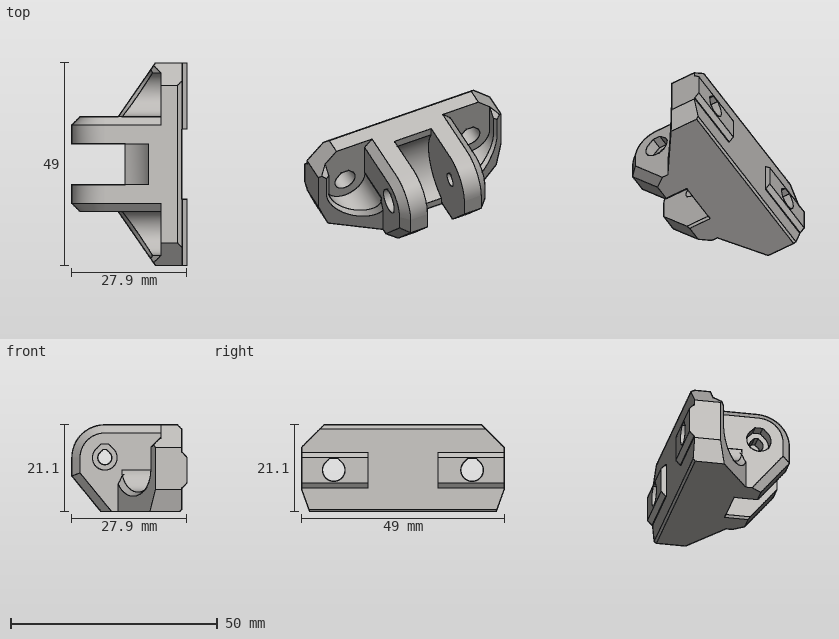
import cadquery as cq
import math

LENGTH = 49.0
HALF_LENGTH = LENGTH / 2
TOP = 8.0
BOTTOM = -13.05
HEIGHT = TOP - BOTTOM

PLATE_FRONT = 13.55
PLATE_BACK = 18.6
TOP_CORNER = 5.5
BOTTOM_CORNER_Y = 1.95
BOTTOM_CORNER_Z = 5.4
BACK_TOP_CHAMFER = 1.1
BACK_BOTTOM_CHAMFER = 0.55

LUG_RADIUS = TOP
LUG_OUTER_Y = 11.45
LUG_CHAMFER = 2.0
LUG_SLOPE_TOP_Z = -4.4
LUG_SLOPE_BOTTOM_X = -0.95
SLOT_WIDTH = 9.85
SLOT_FLOOR_X = 10.55
SLOT_BOTTOM_X = 4.85
SLOT_RADIUS = 12.05
SLOT_BOTTOM_CHAMFER = 0.55

PIN_RADIUS = 1.65
PIN_FLAT = 1.95
PIN_HEAD_RADIUS = 3.0
PIN_HEAD_FLAT = 3.3
PIN_HEAD_DEPTH = 3.0
SCREW_RADIUS = 2.7
SCREW_FLAT = 2.85
SCREW_Z = -3.0

POCKET_RADIUS = 5.35
POCKET_CHAMFER = 1.0
POCKET_LUG_OVERLAP = 0.1
SCREW_Y = LUG_OUTER_Y + POCKET_RADIUS - POCKET_LUG_OVERLAP
WING_ROOT_X = 3.25
LUG_RECESS_START_X = WING_ROOT_X + POCKET_CHAMFER
WING_TIP_X = 12.25

TAB_DEPTH = 1.25
TAB_LENGTH = 16.0
TAB_LEDGE = 0.15
TAB_BASE_HEIGHT = 8.58
TAB_TIP_HEIGHT = 6.15


def both_sides(shape):
    """The shape together with its mirror image across Y = 0."""
    return shape.union(shape.mirror("XZ"))


def teardrop(plane, radius, flat):
    """Circle with 45 degree tangents on top, cut off flat at the given height."""
    tangent = radius / math.sqrt(2)
    half_flat = 2 * tangent - flat
    return (
        cq.Workplane(plane)
        .moveTo(-half_flat, flat)
        .lineTo(-tangent, tangent)
        .threePointArc((0, -radius), (tangent, tangent))
        .lineTo(half_flat, flat)
        .close()
    )


def end_outline(start_x, end_x):
    """Outline of the part along X, extruded between two X positions."""
    half = [
        (HALF_LENGTH - TOP_CORNER, TOP),
        (HALF_LENGTH, TOP - TOP_CORNER),
        (HALF_LENGTH, BOTTOM + BOTTOM_CORNER_Z),
        (HALF_LENGTH - BOTTOM_CORNER_Y, BOTTOM),
    ]
    other_half = [(-y, z) for y, z in reversed(half)]
    return (
        cq.Workplane("YZ", origin=(start_x, 0, 0))
        .polyline(half + other_half)
        .close()
        .extrude(end_x - start_x)
    )


def make_plate():
    """Mounting plate with its long back edges chamfered."""
    plate = end_outline(PLATE_FRONT, PLATE_BACK)
    plate = plate.edges(">X and >Z").chamfer(BACK_TOP_CHAMFER)
    return plate.edges(">X and <Z").chamfer(BACK_BOTTOM_CHAMFER)


def make_lug_block():
    """Both lugs as one block, its outer sides chamfered around the nose and the top."""
    slope = (LUG_SLOPE_BOTTOM_X + LUG_RADIUS) / (LUG_SLOPE_TOP_Z - BOTTOM)
    margin = 2 * LUG_CHAMFER
    arc_mid = LUG_RADIUS / math.sqrt(2)
    outline = (
        cq.Workplane("XZ")
        .moveTo(PLATE_FRONT + margin, TOP)
        .lineTo(0, TOP)
        .threePointArc((-arc_mid, arc_mid), (-LUG_RADIUS, 0))
        .lineTo(-LUG_RADIUS, LUG_SLOPE_TOP_Z)
        .lineTo(LUG_SLOPE_BOTTOM_X + slope * margin, BOTTOM - margin)
        .lineTo(PLATE_FRONT + margin, BOTTOM - margin)
        .close()
    )
    block = outline.extrude(LUG_OUTER_Y, both=True)
    block = block.faces("<Y or >Y").chamfer(LUG_CHAMFER)
    limits = cq.Workplane("XY").box(
        PLATE_FRONT + LUG_RADIUS, LENGTH, HEIGHT, centered=(False, True, False)
    )
    return block.intersect(limits.translate((-LUG_RADIUS, 0, BOTTOM)))


def make_wing():
    """Sloped wing beside the +Y lug, holding the screw-head pocket."""
    slope = (WING_TIP_X - WING_ROOT_X) / (HALF_LENGTH - LUG_OUTER_Y)
    inner_x = WING_ROOT_X - slope * LUG_OUTER_Y
    plan = (
        cq.Workplane("XY", origin=(0, 0, BOTTOM))
        .polyline(
            [
                (inner_x, 0),
                (WING_TIP_X, HALF_LENGTH),
                (PLATE_FRONT, HALF_LENGTH),
                (PLATE_FRONT, 0),
            ]
        )
        .close()
        .extrude(HEIGHT)
    )
    wing = end_outline(inner_x, PLATE_FRONT).intersect(plan)

    pocket = (
        cq.Workplane("YZ", origin=(inner_x, 0, 0))
        .moveTo(SCREW_Y - POCKET_RADIUS, TOP)
        .lineTo(SCREW_Y - POCKET_RADIUS, SCREW_Z)
        .threePointArc((SCREW_Y, SCREW_Z - POCKET_RADIUS), (SCREW_Y + POCKET_RADIUS, SCREW_Z))
        .lineTo(SCREW_Y + POCKET_RADIUS, TOP)
        .close()
        .extrude(PLATE_FRONT - inner_x)
    )
    sloped_face = cq.selectors.DirectionMinMaxSelector(cq.Vector(-1, slope, 0), True)
    rim = cq.selectors.BoxSelector(
        (inner_x, LUG_OUTER_Y - POCKET_CHAMFER, SCREW_Z - POCKET_RADIUS),
        (PLATE_FRONT, SCREW_Y + POCKET_RADIUS + POCKET_CHAMFER, TOP - POCKET_CHAMFER),
    )
    wing = wing.cut(pocket).faces(sloped_face).edges(rim).chamfer(POCKET_CHAMFER)

    wall_top = TOP - TOP_CORNER + HALF_LENGTH - SCREW_Y - POCKET_RADIUS
    top_cut = (
        cq.Workplane("XZ")
        .polyline(
            [
                (PLATE_FRONT, wall_top),
                (PLATE_FRONT, wall_top + PLATE_FRONT),
                (0, wall_top + PLATE_FRONT),
                (0, wall_top - PLATE_FRONT),
            ]
        )
        .close()
        .extrude(-LENGTH)
    )
    inner_side = cq.Workplane("XY").box(LENGTH, 2 * LUG_OUTER_Y, LENGTH)
    return wing.cut(top_cut).cut(inner_side)


def make_lug_recess():
    """Round lower half of the pocket, shaving the side of the +Y lug."""
    return (
        cq.Workplane("YZ", origin=(LUG_RECESS_START_X, SCREW_Y, SCREW_Z))
        .moveTo(-POCKET_RADIUS, 0)
        .threePointArc((0, -POCKET_RADIUS), (POCKET_RADIUS, 0))
        .close()
        .extrude(PLATE_FRONT - LUG_RECESS_START_X)
        .intersect(cq.Workplane("XY").box(LENGTH, 2 * LUG_OUTER_Y, LENGTH))
    )


def make_slot():
    """Gap between the lugs, its floor hollowed around the pin axis."""
    half_slot = SLOT_WIDTH / 2
    upper_z = math.sqrt(SLOT_RADIUS**2 - SLOT_FLOOR_X**2)
    lower_z = -math.sqrt(SLOT_RADIUS**2 - SLOT_BOTTOM_X**2)
    gap = (
        cq.Workplane("XZ")
        .moveTo(-LUG_RADIUS, TOP)
        .lineTo(SLOT_FLOOR_X, TOP)
        .lineTo(SLOT_FLOOR_X, upper_z)
        .threePointArc((SLOT_RADIUS, 0), (SLOT_BOTTOM_X, lower_z))
        .lineTo(SLOT_BOTTOM_X, BOTTOM)
        .lineTo(-LUG_RADIUS, BOTTOM)
        .close()
        .extrude(half_slot, both=True)
    )
    flare = (
        cq.Workplane("YZ", origin=(-LUG_RADIUS, 0, 0))
        .polyline(
            [
                (-half_slot - SLOT_BOTTOM_CHAMFER, BOTTOM),
                (-half_slot, BOTTOM + SLOT_BOTTOM_CHAMFER),
                (half_slot, BOTTOM + SLOT_BOTTOM_CHAMFER),
                (half_slot + SLOT_BOTTOM_CHAMFER, BOTTOM),
            ]
        )
        .close()
        .extrude(LUG_RADIUS + SLOT_BOTTOM_X)
    )
    return gap.union(flare)


def make_tab():
    """Locating tab behind the +Y end, tapered above and below after a short ledge."""
    half_base = TAB_BASE_HEIGHT / 2
    half_tip = TAB_TIP_HEIGHT / 2
    return (
        cq.Workplane("XZ", origin=(0, HALF_LENGTH, SCREW_Z))
        .polyline(
            [
                (PLATE_BACK, half_base),
                (PLATE_BACK + TAB_LEDGE, half_base),
                (PLATE_BACK + TAB_DEPTH, half_tip),
                (PLATE_BACK + TAB_DEPTH, -half_tip),
                (PLATE_BACK + TAB_LEDGE, -half_base),
                (PLATE_BACK, -half_base),
            ]
        )
        .close()
        .extrude(TAB_LENGTH)
    )


def make_holes():
    """Pin bore through both lugs, its head recesses, and the two screw holes."""
    pin = teardrop("XZ", PIN_RADIUS, PIN_FLAT).extrude(LUG_OUTER_Y, both=True)
    pin_head = (
        teardrop("XZ", PIN_HEAD_RADIUS, PIN_HEAD_FLAT)
        .extrude(PIN_HEAD_DEPTH)
        .translate((0, PIN_HEAD_DEPTH - LUG_OUTER_Y, 0))
    )
    screw = (
        teardrop("YZ", SCREW_RADIUS, SCREW_FLAT)
        .extrude(PLATE_BACK + TAB_DEPTH)
        .translate((0, SCREW_Y, SCREW_Z))
    )
    return pin, both_sides(pin_head), both_sides(screw)


result = make_plate().union(make_lug_block()).union(both_sides(make_wing()))
result = result.cut(both_sides(make_lug_recess()))
result = result.union(both_sides(make_tab())).cut(make_slot())
for hole in make_holes():
    result = result.cut(hole)